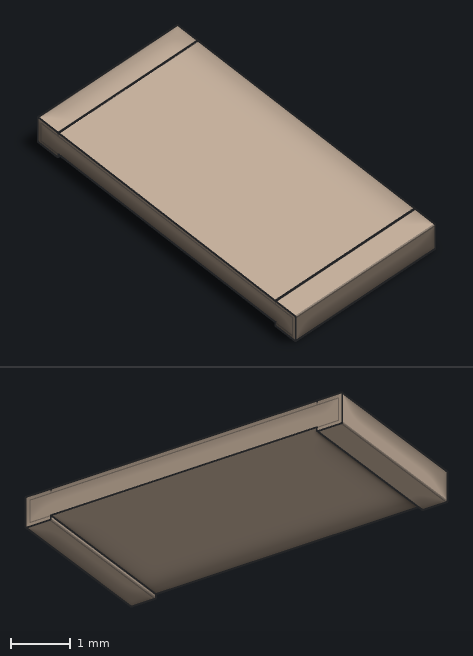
import cadquery as cq

length = 6.4
width = 3.2
height = 0.6
layer = 0.08
terminal_reach = 0.51
terminal_round = 0.02

core_length = length - 2 * layer
core_height = height - 2 * layer
coating_length = length - 2 * terminal_reach


def make_core():
    return cq.Workplane("XY").box(core_length, width, core_height)


def make_coating():
    """Layer on top of the core, filling the gap between the terminals."""
    return (
        cq.Workplane("XY")
        .box(coating_length, width, layer)
        .translate((0, 0, (core_height + layer) / 2))
    )


def make_terminal(side):
    """C-shaped cap around one end of the core; side is -1 or +1 along X."""
    block = (
        cq.Workplane("XY")
        .box(terminal_reach, width, height)
        .translate((side * (length - terminal_reach) / 2, 0, 0))
    )
    rounded_block = block.edges("|Y").fillet(terminal_round)
    return rounded_block.cut(make_core())


result = make_core().union(make_coating(), clean=False)
for side in (-1, 1):
    result = result.union(make_terminal(side), clean=False)